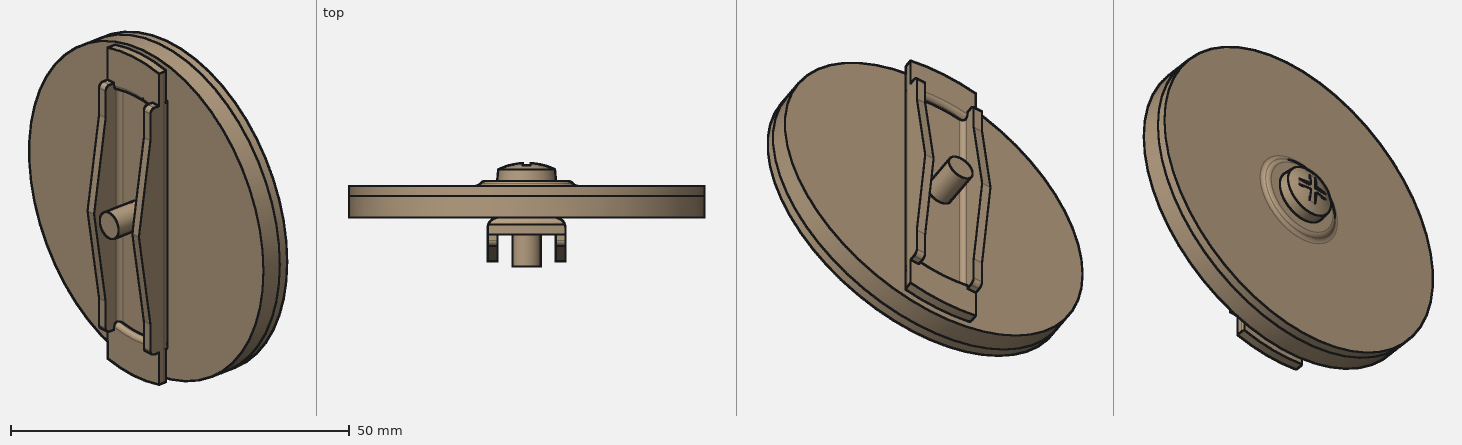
import cadquery as cq
import math

DISC_RADIUS = 26.3
BACKING_THICKNESS = 3.2
SHEET_THICKNESS = 1.45
COVER_BACK = BACKING_THICKNESS + SHEET_THICKNESS

SEAT_HEIGHT = 0.75
SEAT_BASE_RADIUS = 7.6
SEAT_TOP_RADIUS = 6.05
SEAT_TOP = COVER_BACK + SEAT_HEIGHT

SHANK_RADIUS = 2.1
SHANK_END = -7.25
HEAD_BASE_RADIUS = 4.35
HEAD_RIM_RADIUS = 4.2
HEAD_RIM = 7.1
HEAD_TOP = 8.1
SLOT_WIDTH = 1.1
SLOT_DEPTH = 0.35

BRACKET_WIDTH = 11.5
BEND_OUTER_RADIUS = 1.6
BEND_INNER_RADIUS = 0.75
TAB_STEP = 1.05
STEP_BACK_ROUND = TAB_STEP
STEP_FRONT_ROUND = 0.75
STEP_BACK_RADIUS = 21.1
FLOOR_RADIUS = 19.65
WALL_HALF_LENGTH = 20.35
WALL_END_DEPTH = 4.2
WALL_PEAK_DEPTH = 6.45
WALL_TAPER_START = 15.15
WALL_CORNER_RADIUS = 0.8
TAB_FRONT = TAB_STEP + SHEET_THICKNESS
INNER_WIDTH = BRACKET_WIDTH - 2 * SHEET_THICKNESS


def disc(radius, start, end):
    """Cylinder about the Y axis from Y = start to Y = end."""
    return cq.Workplane("XZ", origin=(0, end, 0)).circle(radius).extrude(end - start)


def revolve_about_y(profile):
    """Turn a closed X-Y profile into a solid of revolution about the Y axis."""
    return profile.close().revolve(360, (0, 0, 0), (0, 1, 0))


def shank_hole():
    return disc(SHANK_RADIUS, SHANK_END, SEAT_TOP)


def make_backing_disc():
    return disc(DISC_RADIUS, 0, BACKING_THICKNESS).cut(shank_hole())


def make_cover_disc():
    """Thin disc with a raised seat whose flank is two equal tangent arcs."""
    flank_run = SEAT_BASE_RADIUS - SEAT_TOP_RADIUS
    flank_radius = (flank_run**2 + SEAT_HEIGHT**2) / (4 * SEAT_HEIGHT)
    flank_angle = 2 * math.atan2(SEAT_HEIGHT, flank_run)
    arc_run = flank_radius * math.sin(flank_angle / 2)
    arc_rise = flank_radius * (1 - math.cos(flank_angle / 2))
    middle = ((SEAT_BASE_RADIUS + SEAT_TOP_RADIUS) / 2, COVER_BACK + SEAT_HEIGHT / 2)
    seat_and_disc = revolve_about_y(
        cq.Workplane("XY")
        .moveTo(0, BACKING_THICKNESS)
        .lineTo(DISC_RADIUS, BACKING_THICKNESS)
        .lineTo(DISC_RADIUS, COVER_BACK)
        .lineTo(SEAT_BASE_RADIUS, COVER_BACK)
        .threePointArc((SEAT_BASE_RADIUS - arc_run, COVER_BACK + arc_rise), middle)
        .threePointArc((SEAT_TOP_RADIUS + arc_run, SEAT_TOP - arc_rise), (SEAT_TOP_RADIUS, SEAT_TOP))
        .lineTo(0, SEAT_TOP)
    )
    return seat_and_disc.cut(shank_hole())


def make_screw():
    """Shank and domed head with a shallow cross slot."""
    dome_height = HEAD_TOP - HEAD_RIM
    dome_radius = (HEAD_RIM_RADIUS**2 + dome_height**2) / (2 * dome_height)
    mid_radius = HEAD_RIM_RADIUS / 2
    mid_y = HEAD_TOP - dome_radius + math.sqrt(dome_radius**2 - mid_radius**2)
    screw = revolve_about_y(
        cq.Workplane("XY")
        .moveTo(0, SHANK_END)
        .lineTo(SHANK_RADIUS, SHANK_END)
        .lineTo(SHANK_RADIUS, SEAT_TOP)
        .lineTo(HEAD_BASE_RADIUS, SEAT_TOP)
        .lineTo(HEAD_RIM_RADIUS, HEAD_RIM)
        .threePointArc((mid_radius, mid_y), (0, HEAD_TOP))
    )
    slot_length = 2 * HEAD_BASE_RADIUS
    for angle in (0, 90):
        slot = (
            cq.Workplane("XZ", origin=(0, HEAD_TOP, 0))
            .transformed(rotate=(0, 0, angle))
            .rect(slot_length, SLOT_WIDTH)
            .extrude(SLOT_DEPTH)
        )
        screw = screw.cut(slot)
    return screw


def channel_bar(width, back, bend_radius):
    """Bar along Z, rounded along its two long edges at Y = back, reaching forward to the wall peaks."""
    depth = WALL_PEAK_DEPTH + back
    return (
        cq.Workplane("XY", origin=(0, back - depth / 2, 0))
        .box(width, depth, 2 * DISC_RADIUS)
        .edges("|Z and >Y")
        .fillet(bend_radius)
    )


def wall_block():
    """Side shape of the walls, extruded across the full bracket width."""
    corner_z = WALL_HALF_LENGTH - WALL_CORNER_RADIUS
    corner_y = WALL_END_DEPTH - WALL_CORNER_RADIUS
    return (
        cq.Workplane("YZ", origin=(-BRACKET_WIDTH / 2, 0, 0))
        .moveTo(0, -WALL_HALF_LENGTH)
        .lineTo(-corner_y, -WALL_HALF_LENGTH)
        .radiusArc((-WALL_END_DEPTH, -corner_z), WALL_CORNER_RADIUS)
        .lineTo(-WALL_END_DEPTH, -WALL_TAPER_START)
        .lineTo(-WALL_PEAK_DEPTH, 0)
        .lineTo(-WALL_END_DEPTH, WALL_TAPER_START)
        .lineTo(-WALL_END_DEPTH, corner_z)
        .radiusArc((-corner_y, WALL_HALF_LENGTH), WALL_CORNER_RADIUS)
        .lineTo(0, WALL_HALF_LENGTH)
        .close()
        .extrude(BRACKET_WIDTH)
    )


def raised_back():
    """Raised middle of the bracket; its rim is a convex quarter round that ends at the tab back."""
    flat_radius = STEP_BACK_RADIUS - STEP_BACK_ROUND
    diagonal = STEP_BACK_ROUND * math.sqrt(0.5)
    return revolve_about_y(
        cq.Workplane("XY")
        .moveTo(0, -TAB_STEP)
        .lineTo(STEP_BACK_RADIUS, -TAB_STEP)
        .threePointArc((flat_radius + diagonal, diagonal - STEP_BACK_ROUND), (flat_radius, 0))
        .lineTo(0, 0)
    )


def floor_recess():
    """Space above the recessed floor; the tab front rolls into it over a quarter round."""
    mouth_radius = FLOOR_RADIUS + STEP_FRONT_ROUND
    round_start = STEP_FRONT_ROUND - TAB_FRONT
    diagonal = STEP_FRONT_ROUND * math.sqrt(0.5)
    return revolve_about_y(
        cq.Workplane("XY")
        .moveTo(0, -TAB_FRONT)
        .lineTo(mouth_radius, -TAB_FRONT)
        .threePointArc((mouth_radius - diagonal, round_start - diagonal), (FLOOR_RADIUS, round_start))
        .lineTo(FLOOR_RADIUS, -SHEET_THICKNESS)
        .lineTo(0, -SHEET_THICKNESS)
    )


def make_bracket():
    """Stepped plate with side walls, hollowed between the walls and rounded along its back edges."""
    tab_plate = disc(DISC_RADIUS, -TAB_FRONT, -TAB_STEP)
    walls = wall_block().intersect(disc(DISC_RADIUS, -WALL_PEAK_DEPTH, -TAB_STEP))
    outside = tab_plate.union(raised_back()).union(walls)
    outside = outside.intersect(channel_bar(BRACKET_WIDTH, 0, BEND_OUTER_RADIUS))

    open_front = disc(DISC_RADIUS, -WALL_PEAK_DEPTH, -TAB_FRONT)
    hollow = open_front.union(floor_recess())
    hollow = hollow.intersect(channel_bar(INNER_WIDTH, -SHEET_THICKNESS, BEND_INNER_RADIUS))
    return outside.cut(hollow).cut(shank_hole())


backing_disc = make_backing_disc()
cover_disc = make_cover_disc()
screw = make_screw()
bracket = make_bracket()

result = cq.Compound.makeCompound([
    backing_disc.solids().val(),
    cover_disc.solids().val(),
    screw.solids().val(),
    bracket.solids().val(),
])